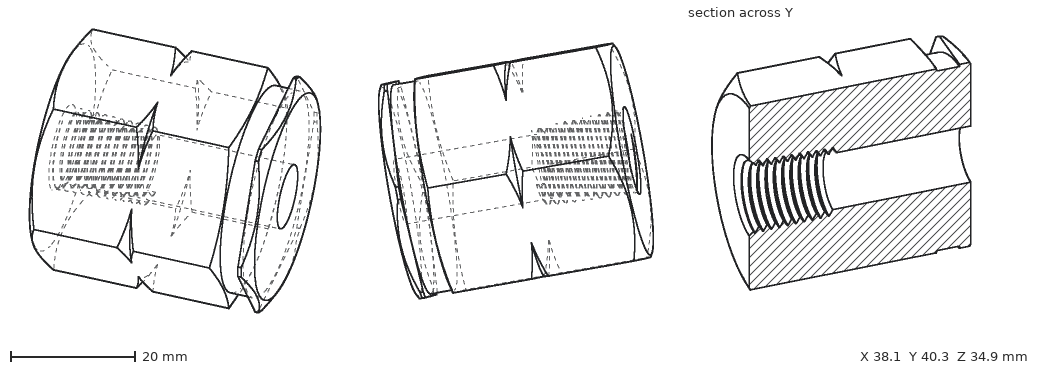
import cadquery as cq
import math

corner_width = 40.3
corner_radius = corner_width / 2
total_length = 38.1
body_end = 32.3
neck_end = 36.13

neck_radius = 17.1
end_face_radius = neck_radius
outer_chamfer_angle = 30.0
shoulder_chamfer_angle = 15.0
flange_radius = 19.6
corner_groove_position = 17.2
corner_groove_root_radius = 17.8

thread_pitch = 1.4
thread_depth = 1.1
thread_length = 14.1
thread_flank_angle = 30.0
thread_crest_flat = 0.1
thread_mouth_radius = 5.73
thread_taper = 1 / 32
thread_lead_in = 3.25
thread_overlap = 0.05
thread_turns = math.ceil((thread_lead_in + thread_length) / thread_pitch)
mouth_chamfer_radius = 7.15
bore_radius = thread_mouth_radius - thread_length * thread_taper


def slope(radial_height, angle):
    """Axial length of a sloping side that rises by radial_height at an angle to the radial direction."""
    return radial_height * math.tan(math.radians(angle))


def revolve_about_x(points):
    """Solid of revolution about X from (x, radius) points."""
    return cq.Workplane("XY").polyline(points).close().revolve(360, (0, 0, 0), (1, 0, 0))


def hexagonal_blank():
    """Hexagon bar trimmed by a turned envelope: end chamfers, corner groove, neck and flange."""
    bar = cq.Workplane("YZ").polygon(6, corner_width).extrude(total_length)
    end_chamfer = slope(corner_radius - end_face_radius, outer_chamfer_angle)
    corner_groove_half_width = slope(corner_radius - corner_groove_root_radius, outer_chamfer_angle)
    shoulder_chamfer = slope(corner_radius - neck_radius, shoulder_chamfer_angle)
    flange_chamfer = slope(flange_radius - end_face_radius, outer_chamfer_angle)
    envelope = revolve_about_x([
        (0, 0),
        (0, end_face_radius),
        (end_chamfer, corner_radius),
        (corner_groove_position - corner_groove_half_width, corner_radius),
        (corner_groove_position, corner_groove_root_radius),
        (corner_groove_position + corner_groove_half_width, corner_radius),
        (body_end - shoulder_chamfer, corner_radius),
        (body_end, neck_radius),
        (neck_end, neck_radius),
        (neck_end, flange_radius),
        (total_length - flange_chamfer, flange_radius),
        (total_length, end_face_radius),
        (total_length, 0),
    ])
    return bar.intersect(envelope)


def bore():
    """Mouth chamfer, tapered thread crest and plain bore running through the part."""
    chamfer_depth = (mouth_chamfer_radius - thread_mouth_radius) / (1 - thread_taper)
    return revolve_about_x([
        (0, 0),
        (0, mouth_chamfer_radius),
        (chamfer_depth, mouth_chamfer_radius - chamfer_depth),
        (thread_length, bore_radius),
        (total_length, bore_radius),
        (total_length, 0),
    ])


def thread_turn(section, cone_angle):
    """Helical edges of one turn about Z, one for each (radius, axial offset) corner of the section."""
    slant_pitch = thread_pitch / math.cos(math.radians(cone_angle))
    return [
        cq.Wire.makeHelix(slant_pitch, slant_pitch, radius, cq.Vector(0, 0, offset), angle=cone_angle)
        for radius, offset in section
    ]


def section_face(helices, position):
    """Flat groove section through matching ends of the helices (0 = start, 1 = end)."""
    corners = [helix.positionAt(position) for helix in helices]
    return cq.Face.makeFromWires(cq.Wire.makePolygon(corners, close=True))


def thread_groove():
    """Tapered right-hand helical groove that cuts the thread."""
    crest_radius = thread_mouth_radius + thread_lead_in * thread_taper
    cone_angle = -math.degrees(math.atan(thread_taper))
    mouth_half_width = (thread_pitch - thread_crest_flat) / 2
    root_half_width = mouth_half_width - slope(thread_depth, thread_flank_angle)
    inner_half_width = mouth_half_width + slope(thread_overlap, thread_flank_angle)

    turns = []
    for turn in range(thread_turns):
        start = turn * thread_pitch
        inner_radius = crest_radius - thread_overlap - start * thread_taper
        root_radius = crest_radius + thread_depth - start * thread_taper
        section = [
            (inner_radius, start - inner_half_width),
            (root_radius, start - root_half_width),
            (root_radius, start + root_half_width),
            (inner_radius, start + inner_half_width),
        ]
        turns.append(thread_turn(section, cone_angle))

    faces = [section_face(turns[0], 0), section_face(turns[-1], 1)]
    for helices in turns:
        for corner in range(len(helices)):
            faces.append(cq.Face.makeRuledSurface(helices[corner - 1], helices[corner]))
    groove = cq.Solid.makeSolid(cq.Shell.makeShell(faces))
    return cq.Workplane(groove).rotate((0, 0, 0), (0, 1, 0), 90).translate((-thread_lead_in, 0, 0))


result = hexagonal_blank().cut(bore()).cut(thread_groove()).solids()